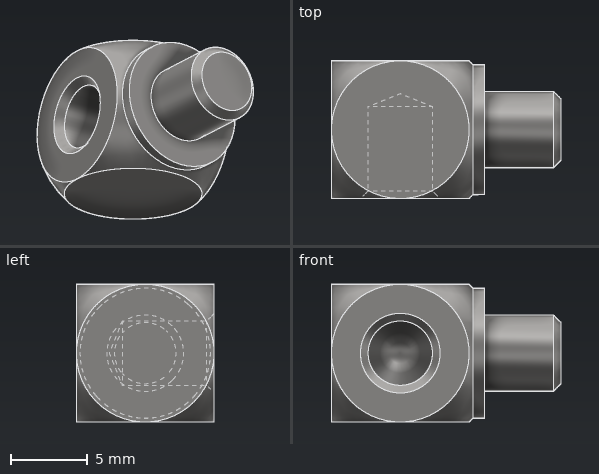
import cadquery as cq
import math

head_size = 9.0
head_half = head_size / 2
flat_diameter = 8.99
sphere_radius = math.hypot(head_half, flat_diameter / 2)

total_length = 15.0
stud_length = 5.0
stud_diameter = 5.0
stud_chamfer = 0.5
collar_diameter = 8.5
stud_end_x = total_length - head_half
collar_end_x = stud_end_x - stud_length

hole_diameter = 4.2
hole_depth = 6.0
hole_chamfer = 0.5
drill_point_angle = 136.0


def make_head():
    """Sphere with flats on -X, +/-Y and +/-Z; it stays round towards the collar."""
    flats_length = head_half + collar_end_x
    flats = cq.Workplane("XY").box(flats_length, head_size, head_size)
    flats = flats.translate((flats_length / 2 - head_half, 0, 0))
    return cq.Workplane("XY").sphere(sphere_radius).intersect(flats)


def make_collar_and_stud():
    """Collar from inside the head, then the stud with its chamfered end."""
    collar = cq.Workplane("YZ").circle(collar_diameter / 2).extrude(collar_end_x)
    stud = (
        cq.Workplane("YZ")
        .workplane(offset=collar_end_x)
        .circle(stud_diameter / 2)
        .extrude(stud_length)
        .faces(">X")
        .chamfer(stud_chamfer)
    )
    return collar.union(stud)


def make_hole():
    """Drilled hole with a chamfered mouth and a conical bottom, revolved about Y."""
    hole_radius = hole_diameter / 2
    mouth_y = -head_half
    bottom_y = mouth_y + hole_depth
    tip_y = bottom_y + hole_radius / math.tan(math.radians(drill_point_angle / 2))
    return (
        cq.Workplane("XY")
        .moveTo(0, mouth_y)
        .lineTo(hole_radius + hole_chamfer, mouth_y)
        .lineTo(hole_radius, mouth_y + hole_chamfer)
        .lineTo(hole_radius, bottom_y)
        .lineTo(0, tip_y)
        .close()
        .revolve(360, (0, 0, 0), (0, 1, 0))
    )


result = make_head().union(make_collar_and_stud()).cut(make_hole())